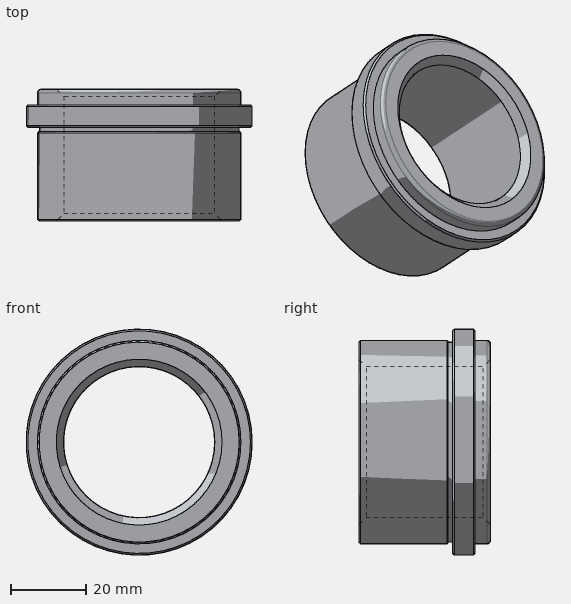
import cadquery as cq
import math

flange_diameter = 60.0
body_diameter = 54.0
bore_diameter = 40.0
bore_mouth_diameter = 44.0
groove_diameter = 53.05

total_length = 35.0
collar_length = 4.15
flange_width = 6.0
groove_width = 1.15

flange_chamfer = 0.5
front_chamfer = 0.5
groove_chamfer = 0.3
collar_fillet = 1.0
bore_chamfer_depth = 2.0

flange_radius = flange_diameter / 2
body_radius = body_diameter / 2
bore_radius = bore_diameter / 2
bore_mouth_radius = bore_mouth_diameter / 2
groove_radius = groove_diameter / 2

front_y = -total_length / 2
back_y = total_length / 2
flange_back_y = back_y - collar_length
flange_front_y = flange_back_y - flange_width
groove_front_y = flange_front_y - groove_width

arc_inset = collar_fillet * (1 - math.sqrt(0.5))
collar_arc_middle = (body_radius - arc_inset, back_y - arc_inset)

outside = [
    (bore_mouth_radius, front_y),
    (body_radius - front_chamfer, front_y),
    (body_radius, front_y + front_chamfer),
    (body_radius, groove_front_y - groove_chamfer),
    (body_radius - groove_chamfer, groove_front_y),
    (groove_radius, groove_front_y),
    (groove_radius, flange_front_y),
    (flange_radius - flange_chamfer, flange_front_y),
    (flange_radius, flange_front_y + flange_chamfer),
    (flange_radius, flange_back_y - flange_chamfer),
    (flange_radius - flange_chamfer, flange_back_y),
    (body_radius, flange_back_y),
    (body_radius, back_y - collar_fillet),
]

bore = [
    (bore_mouth_radius, back_y),
    (bore_radius, back_y - bore_chamfer_depth),
    (bore_radius, front_y + bore_chamfer_depth),
]

half_section = (
    cq.Workplane("XY")
    .polyline(outside)
    .threePointArc(collar_arc_middle, (body_radius - collar_fillet, back_y))
    .polyline(bore, includeCurrent=True)
    .close()
)

result = half_section.revolve(360, (0, 0), (0, 1))